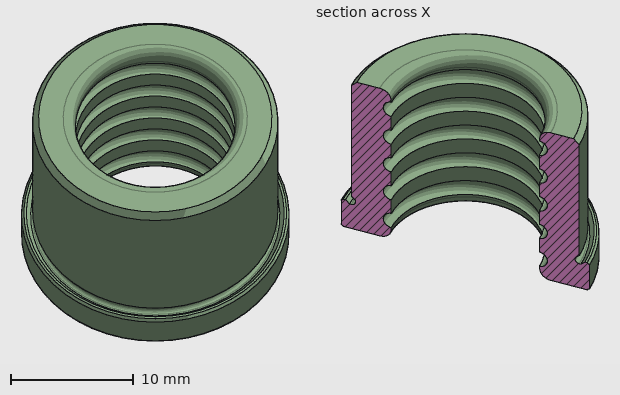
import cadquery as cq
import math

height = 16.0
bore_radius = 6.5
body_radius = 10.0
body_chamfer = 0.5

flange_radius = 10.9
flange_height = 3.0
flange_chamfer = 0.2

undercut_reach = 0.5
undercut_depth = 0.35
undercut_fillet = undercut_depth

mouth_fillet = 1.0
groove_count = 5
groove_pitch = 3.0
groove_width = 1.5
groove_depth = 0.68


def make_body():
    """Turned outer shape with a solid core, revolved about Z."""
    undercut_top = flange_height + undercut_reach
    undercut_rim_radius = body_radius + undercut_reach
    undercut_floor = flange_height - undercut_depth
    neck_radius = body_radius - undercut_depth
    arc_inset = undercut_fillet * (1 - math.sqrt(0.5))
    arc_start = (neck_radius + undercut_fillet, undercut_floor)
    arc_middle = (neck_radius + arc_inset, undercut_floor + arc_inset)
    arc_end = (neck_radius, undercut_floor + undercut_fillet)

    profile = (
        cq.Workplane("XZ")
        .moveTo(0, 0)
        .lineTo(flange_radius - flange_chamfer, 0)
        .lineTo(flange_radius, flange_chamfer)
        .lineTo(flange_radius, flange_height - flange_chamfer)
        .lineTo(flange_radius - flange_chamfer, flange_height)
        .lineTo(undercut_rim_radius, flange_height)
        .lineTo(undercut_rim_radius - undercut_depth, undercut_floor)
        .lineTo(*arc_start)
        .threePointArc(arc_middle, arc_end)
        .lineTo(neck_radius, undercut_top - undercut_depth)
        .lineTo(body_radius, undercut_top)
        .lineTo(body_radius, height - body_chamfer)
        .lineTo(body_radius - body_chamfer, height)
        .lineTo(0, height)
        .close()
    )
    return profile.revolve(360, (0, 0, 0), (0, 1, 0))


def cut_bore(body):
    """Through bore, rounded at both mouths."""
    bored = body.cut(cq.Workplane("XY").circle(bore_radius).extrude(height))
    mouth_edges = bored.faces("<Z or >Z").edges(cq.selectors.RadiusNthSelector(0))
    return mouth_edges.fillet(mouth_fillet)


def make_groove(center_height):
    """Ring that cuts a round-bottomed groove into the bore wall."""
    half_width = groove_width / 2
    return (
        cq.Workplane("XZ")
        .moveTo(bore_radius, center_height - half_width)
        .threePointArc(
            (bore_radius + groove_depth, center_height),
            (bore_radius, center_height + half_width),
        )
        .close()
        .revolve(360, (0, 0, 0), (0, 1, 0))
    )


def cut_grooves(body):
    """Row of grooves centred on the height of the bore."""
    lowest_center = (height - (groove_count - 1) * groove_pitch) / 2
    for index in range(groove_count):
        body = body.cut(make_groove(lowest_center + index * groove_pitch))
    return body


result = cut_grooves(cut_bore(make_body()))